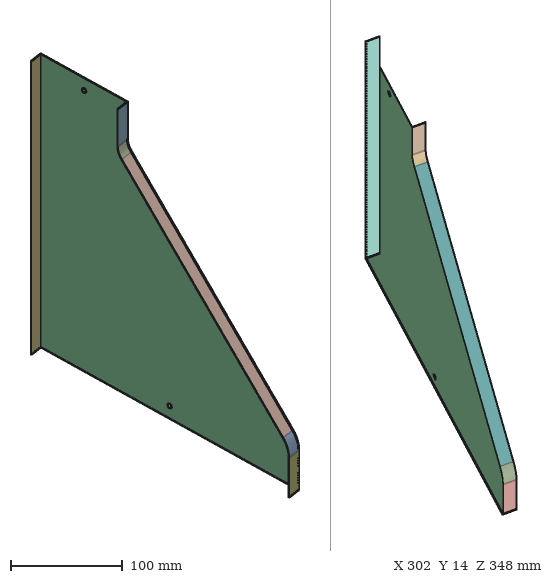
import cadquery as cq

width = 302.0
depth = 14.0
height = 348.0
sheet = 1.0

top_width = 102.0
upper_corner_z = 297.0
lower_corner_z = 59.0

upper_inner_radius = 20.0
lower_inner_radius = 30.0
upper_outer_radius = upper_inner_radius - sheet
lower_outer_radius = lower_inner_radius + sheet

hole_diameter = 5.0
hole_edge_distance = 15.0
hole_positions = [
    (top_width / 2, height - hole_edge_distance),
    (width / 2, hole_edge_distance),
]

back_inner_y = depth - sheet

pick_margin = 0.1


def corner_edge(x, z):
    """Selector for the edge that runs along Y through the point (x, z)."""
    return cq.selectors.BoxSelector(
        (x - pick_margin, -pick_margin, z - pick_margin),
        (x + pick_margin, depth + pick_margin, z + pick_margin),
    )


def make_outer_block():
    """Full-depth block with the bracket outline and rounded right-hand bends."""
    outline = [
        (0, 0),
        (width, 0),
        (width, lower_corner_z),
        (top_width, upper_corner_z),
        (top_width, height),
        (0, height),
    ]
    block = cq.Workplane("XZ").polyline(outline).close().extrude(-depth)
    block = block.edges(corner_edge(width, lower_corner_z)).fillet(lower_outer_radius)
    return block.edges(corner_edge(top_width, upper_corner_z)).fillet(upper_outer_radius)


def make_tray(block):
    """Hollow the block to sheet thickness, open at the front, top and bottom."""
    return block.faces("<Y or <Z or >Z").shell(-sheet)


def drill_holes(tray):
    """Cut the mounting holes through the back sheet."""
    drills = (
        cq.Workplane("XZ", origin=(0, back_inner_y, 0))
        .pushPoints(hole_positions)
        .circle(hole_diameter / 2)
        .extrude(-sheet)
    )
    return tray.cut(drills)


result = drill_holes(make_tray(make_outer_block()))